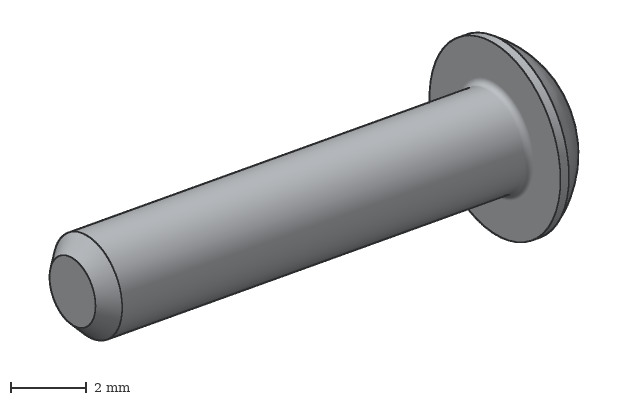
import cadquery as cq

total_length = 15.65
head_diameter = 5.7
head_height = 1.66
rim_height = 0.28
crown_flat_diameter = 2.57
dome_radius = 3.21
shank_diameter = 3.0
tip_chamfer = 0.5
neck_fillet = 0.19

head_radius = head_diameter / 2
crown_radius = crown_flat_diameter / 2
shank_radius = shank_diameter / 2
tip_y = head_height - total_length


def make_head():
    """Head with a short cylindrical rim and a domed crown ending in a flat."""
    profile = (
        cq.Workplane("XY")
        .lineTo(head_radius, 0)
        .lineTo(head_radius, rim_height)
        .radiusArc((crown_radius, head_height), -dome_radius)
        .lineTo(0, head_height)
        .close()
    )
    return profile.revolve(360, (0, 0, 0), (0, 1, 0))


def make_shank():
    """Plain shank with a chamfered tip and a concave fillet under the head."""
    profile = (
        cq.Workplane("XY")
        .lineTo(shank_radius + neck_fillet, 0)
        .radiusArc((shank_radius, -neck_fillet), -neck_fillet)
        .lineTo(shank_radius, tip_y + tip_chamfer)
        .lineTo(shank_radius - tip_chamfer, tip_y)
        .lineTo(0, tip_y)
        .close()
    )
    return profile.revolve(360, (0, 0, 0), (0, 1, 0))


result = make_head().union(make_shank())